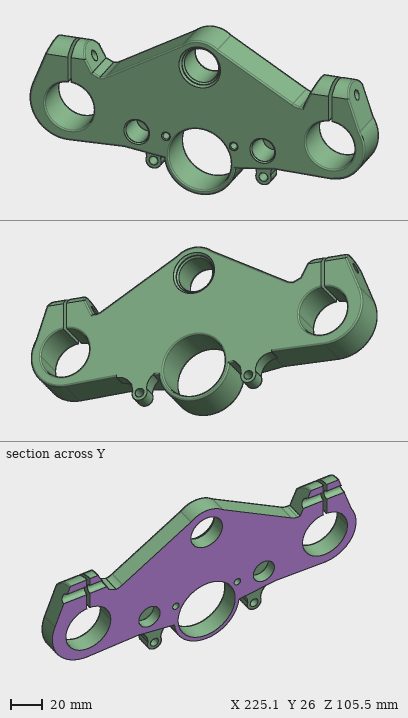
import cadquery as cq
import math

TOLERANCE = 0.02

THICKNESS = 26.0
FRONT_Y = -THICKNESS / 2
BACK_Y = THICKNESS / 2
HEIGHT = 105.5
EDGE_ROUND = 1.0

CLAMP_X = 87.5
CLAMP_Z = 47.3
CLAMP_BORE_RADIUS = 16.5
CLAMP_RIM_ROUND = 1.0
CLAMP_TOP_Z = 87.8
CLAMP_KINK_Z = 59.5
WALL_MID_ANGLE = 30
SLOT_WIDTH = 2.3
LUG_CROWN_RADIUS = 15.8
BOLT_Z = 78.8
BOLT_RADIUS = 3.2
LUG_SPAN = 54.0

RIGHT_WALL_RADIUS = 23.2
RIGHT_LUG_INNER_X = 77.0
RIGHT_LUG_OUTER_X = 97.7
RIGHT_NOTCH_X = 69.1

LEFT_WALL_RADIUS = 25.7
LEFT_WALL_X = -88.7
LEFT_WALL_Z = 49.5
LEFT_LUG_INNER_X = -80.4
LEFT_LUG_OUTER_X = -101.0
LEFT_NOTCH_X = -72.3
LEFT_NOTCH_Z = 72.7

CROWN_RADIUS = 18.0
CROWN_Z = HEIGHT - CROWN_RADIUS
CROWN_END_X = 11.7
NOTCH_Z = 70.5
NOTCH_ARC_START_X = 62.4
NOTCH_ARC_END_X = 67.0
NOTCH_ARC_START_Z = 72.0
NOTCH_ARC_SAG = 0.32
UPPER_BORE_RADIUS = 11.5
UPPER_SEAT_RADIUS = 12.5
UPPER_SEAT_DEPTH = 2.0
UPPER_RIM_CHAMFER = 1.4

STEM_OUTER_RADIUS = 24.0
STEM_BORE_RADIUS = 21.0
STEM_RIM_ROUND = 1.0
BOTTOM_BEND_X = 50.7
BOTTOM_BEND_Z = 25.0
STEM_JOIN_Z = 21.5

BLIND_Z = 36.7
BLIND_DEPTH = 20.3
RISER_X = 42.3
RISER_RADIUS = 7.7
RISER_CHAMFER = 1.0
SCREW_X = 22.7
SCREW_RADIUS = 2.3
SCREW_CHAMFER = 0.7

TAB_X = 37.0
TAB_Z = 11.3
TAB_RADIUS = 5.2
TAB_HOLE_RADIUS = 3.0
TAB_THICKNESS = 10.1
TAB_FLARE_RADIUS = 11.0
TAB_FLARE_Z = 13.3
TAB_ROOT_Z = 27.0


def front_plane(y):
    """Sketch plane facing -Y at the given depth, with local axes X and Z."""
    return cq.Workplane("XZ", origin=(0, y, 0))


def round_cut(x, y, z, radius, depth):
    """Cylinder that reaches from the given y towards the front by the given depth."""
    return front_plane(y).center(x, z).circle(radius).extrude(depth)


def on_circle(center_x, center_z, radius, degrees):
    angle = math.radians(degrees)
    return (center_x + radius * math.cos(angle), center_z + radius * math.sin(angle))


def plate_outline():
    right_kink_angle = math.degrees(math.asin((CLAMP_KINK_Z - CLAMP_Z) / RIGHT_WALL_RADIUS))
    left_kink_angle = 180 - math.degrees(math.asin((CLAMP_KINK_Z - LEFT_WALL_Z) / LEFT_WALL_RADIUS))
    crown_end_z = CROWN_Z + math.sqrt(CROWN_RADIUS**2 - CROWN_END_X**2)
    stem_join_x = math.sqrt(STEM_OUTER_RADIUS**2 - (STEM_JOIN_Z - STEM_OUTER_RADIUS) ** 2)
    notch_mid_x = (NOTCH_ARC_START_X + NOTCH_ARC_END_X) / 2
    notch_mid_z = (NOTCH_ARC_START_Z + NOTCH_Z) / 2 - NOTCH_ARC_SAG
    return (
        front_plane(BACK_Y)
        .moveTo(-CROWN_END_X, crown_end_z)
        .threePointArc((0, HEIGHT), (CROWN_END_X, crown_end_z))
        .lineTo(NOTCH_ARC_START_X, NOTCH_ARC_START_Z)
        .threePointArc((notch_mid_x, notch_mid_z), (NOTCH_ARC_END_X, NOTCH_Z))
        .lineTo(RIGHT_NOTCH_X, NOTCH_Z)
        .lineTo(RIGHT_LUG_INNER_X, CLAMP_TOP_Z)
        .lineTo(RIGHT_LUG_OUTER_X, CLAMP_TOP_Z)
        .lineTo(*on_circle(CLAMP_X, CLAMP_Z, RIGHT_WALL_RADIUS, right_kink_angle))
        .threePointArc(
            on_circle(CLAMP_X, CLAMP_Z, RIGHT_WALL_RADIUS, -WALL_MID_ANGLE),
            (CLAMP_X, CLAMP_Z - RIGHT_WALL_RADIUS),
        )
        .lineTo(BOTTOM_BEND_X, BOTTOM_BEND_Z)
        .lineTo(stem_join_x, STEM_JOIN_Z)
        .threePointArc((0, 0), (-stem_join_x, STEM_JOIN_Z))
        .lineTo(-BOTTOM_BEND_X, BOTTOM_BEND_Z)
        .lineTo(LEFT_WALL_X, LEFT_WALL_Z - LEFT_WALL_RADIUS)
        .threePointArc(
            on_circle(LEFT_WALL_X, LEFT_WALL_Z, LEFT_WALL_RADIUS, 180 + WALL_MID_ANGLE),
            on_circle(LEFT_WALL_X, LEFT_WALL_Z, LEFT_WALL_RADIUS, left_kink_angle),
        )
        .lineTo(LEFT_LUG_OUTER_X, CLAMP_TOP_Z)
        .lineTo(LEFT_LUG_INNER_X, CLAMP_TOP_Z)
        .lineTo(LEFT_NOTCH_X, LEFT_NOTCH_Z)
        .lineTo(-NOTCH_ARC_END_X, NOTCH_Z)
        .threePointArc((-notch_mid_x, notch_mid_z), (-NOTCH_ARC_START_X, NOTCH_ARC_START_Z))
        .close()
    )


def lug_corner_waste(center_x):
    """Material above the rounded (about X) top of one clamp lug pair."""
    crown_z = CLAMP_TOP_Z - LUG_CROWN_RADIUS
    block = cq.Workplane("XY").box(
        LUG_SPAN, THICKNESS, LUG_CROWN_RADIUS, centered=(True, True, False)
    ).translate((center_x, 0, crown_z))
    crown = cq.Workplane("YZ").circle(LUG_CROWN_RADIUS).extrude(LUG_SPAN / 2, both=True)
    return block.cut(crown.translate((center_x, 0, crown_z)))


def bored(body, x, z, radius, rim_round):
    """Cut a through bore along Y and round both its rims."""
    body = body.cut(round_cut(x, BACK_Y, z, radius, THICKNESS))
    rims = body.edges("%CIRCLE").filter(
        lambda edge: abs(edge.radius() - radius) < TOLERANCE and abs(edge.Center().x - x) < TOLERANCE
    )
    return rims.fillet(rim_round)


def cone_cut(x, y, z, radius, chamfer):
    """45-degree cone that opens a hole of the given radius towards -Y, its wide end at y."""
    cone = cq.Solid.makeCone(
        radius + chamfer, radius, chamfer, cq.Vector(x, y, z), cq.Vector(0, 1, 0)
    )
    return cq.Workplane(obj=cone)


def blind_hole(x, radius, chamfer):
    hole = round_cut(x, FRONT_Y + BLIND_DEPTH, BLIND_Z, radius, BLIND_DEPTH)
    return hole.union(cone_cut(x, FRONT_Y, BLIND_Z, radius, chamfer))


def tab(x):
    """Eye that flares into the plate's lower edge, flush with the back face."""
    neck = math.sqrt(TAB_RADIUS**2 - (TAB_FLARE_Z - TAB_Z) ** 2)
    flare_rise = TAB_FLARE_RADIUS * math.sqrt(0.5)
    flare_mid = TAB_FLARE_RADIUS - flare_rise
    root_half = neck + TAB_FLARE_RADIUS
    flare_end_z = TAB_FLARE_Z + TAB_FLARE_RADIUS
    return (
        front_plane(BACK_Y)
        .center(x, 0)
        .moveTo(-neck, TAB_FLARE_Z)
        .threePointArc((0, TAB_Z - TAB_RADIUS), (neck, TAB_FLARE_Z))
        .threePointArc((neck + flare_mid, TAB_FLARE_Z + flare_rise), (root_half, flare_end_z))
        .lineTo(root_half, TAB_ROOT_Z)
        .lineTo(-root_half, TAB_ROOT_Z)
        .lineTo(-root_half, flare_end_z)
        .threePointArc((-neck - flare_mid, TAB_FLARE_Z + flare_rise), (-neck, TAB_FLARE_Z))
        .close()
        .extrude(TAB_THICKNESS)
    )


def upper_bore():
    """Through bore that opens at both faces through a chamfered rim and a short seat."""
    hole = round_cut(0, BACK_Y, CROWN_Z, UPPER_BORE_RADIUS, THICKNESS)
    seat_floor_y = FRONT_Y + UPPER_SEAT_DEPTH
    ledge_width = UPPER_SEAT_RADIUS - UPPER_BORE_RADIUS
    front_seat = (
        round_cut(0, seat_floor_y, CROWN_Z, UPPER_SEAT_RADIUS, UPPER_SEAT_DEPTH)
        .union(cone_cut(0, FRONT_Y, CROWN_Z, UPPER_SEAT_RADIUS, UPPER_RIM_CHAMFER))
        .union(cone_cut(0, seat_floor_y, CROWN_Z, UPPER_BORE_RADIUS, ledge_width))
    )
    return hole.union(front_seat).union(front_seat.mirror("XZ"))


def clamp_slot(x):
    """Gap that splits a clamp from its bore up through the top."""
    height = CLAMP_TOP_Z - CLAMP_Z
    slot = cq.Workplane("XY").box(SLOT_WIDTH, THICKNESS, height, centered=(True, True, False))
    return slot.translate((x, 0, CLAMP_Z))


def bolt_hole(x):
    hole = cq.Workplane("YZ").center(0, BOLT_Z).circle(BOLT_RADIUS).extrude(LUG_SPAN / 2, both=True)
    return hole.translate((x, 0, 0))


body = plate_outline().extrude(THICKNESS)
for side in (-1, 1):
    body = body.cut(lug_corner_waste(side * CLAMP_X))

lug_seam_z = CLAMP_TOP_Z - LUG_CROWN_RADIUS + math.sqrt(LUG_CROWN_RADIUS**2 - BACK_Y**2)
outline_edges = body.edges("not(|Y)").filter(
    lambda edge: abs(edge.Center().z - lug_seam_z) > TOLERANCE or edge.geomType() != "LINE"
)
body = outline_edges.fillet(EDGE_ROUND)

for side in (-1, 1):
    body = body.union(tab(side * TAB_X))
body = bored(body, 0, STEM_OUTER_RADIUS, STEM_BORE_RADIUS, STEM_RIM_ROUND)
body = body.cut(upper_bore())
for side in (-1, 1):
    body = bored(body, side * CLAMP_X, CLAMP_Z, CLAMP_BORE_RADIUS, CLAMP_RIM_ROUND)
    body = body.cut(clamp_slot(side * CLAMP_X))
    body = body.cut(bolt_hole(side * CLAMP_X))
    body = body.cut(blind_hole(side * RISER_X, RISER_RADIUS, RISER_CHAMFER))
    body = body.cut(blind_hole(side * SCREW_X, SCREW_RADIUS, SCREW_CHAMFER))
    body = body.cut(round_cut(side * TAB_X, BACK_Y, TAB_Z, TAB_HOLE_RADIUS, TAB_THICKNESS))

result = body